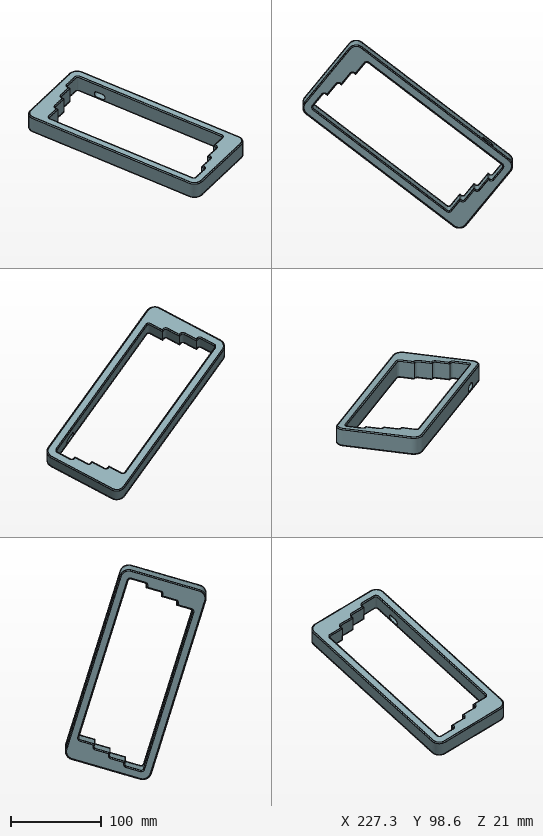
import cadquery as cq

length = 227.3
width = 98.6
height = 21.0
corner_radius = 10.0
chamfer = 1.25

wall = 10.0
step_count = 3
step_depth = 4.8
step_pitch = 19.0
opening_radius = 2.5
pick_margin = 0.2

slot_length = 14.0
slot_height = 7.0
slot_center_x = -73.9
slot_center_z = 6.1


def stair_points():
    """Left side of the opening, from its top-left corner down to its bottom-left corner."""
    left = -length / 2 + wall
    bottom = -width / 2 + wall
    points = [(left, width / 2 - wall)]
    for step in range(step_count):
        ledge = bottom + (step_count - step) * step_pitch
        points.append((left + step * step_depth, ledge))
        points.append((left + (step + 1) * step_depth, ledge))
    points.append((left + step_count * step_depth, bottom))
    return points


def vertical_edge_at(x, y):
    """Selector for the vertical edge standing at (x, y)."""
    low = (x - pick_margin, y - pick_margin, 0)
    high = (x + pick_margin, y + pick_margin, height)
    return cq.selectors.BoxSelector(low, high)


def make_opening():
    """Prism with stairs at both ends, each a half turn of the other about Z."""
    left_stair = stair_points()
    right_stair = [(-x, -y) for x, y in left_stair]
    prism = cq.Workplane("XY").polyline(left_stair + right_stair).close().extrude(height)

    for stair in (left_stair, right_stair):
        for x, y in stair[:1] + stair[1::2]:
            prism = prism.edges("|Z").edges(vertical_edge_at(x, y)).fillet(opening_radius)
    return prism


def make_frame():
    """Rounded block with the stepped opening, chamfered along every top and bottom edge."""
    block = cq.Workplane("XY").box(length, width, height, centered=(True, True, False))
    block = block.edges("|Z").fillet(corner_radius)
    return block.cut(make_opening()).faces("<Z or >Z").chamfer(chamfer)


def make_slot():
    """Round-ended slot lying along X and crossing the whole +Y wall."""
    profile = cq.Workplane("XZ", origin=(slot_center_x, width / 2, slot_center_z))
    return profile.slot2D(slot_length, slot_height).extrude(wall)


result = make_frame().cut(make_slot())